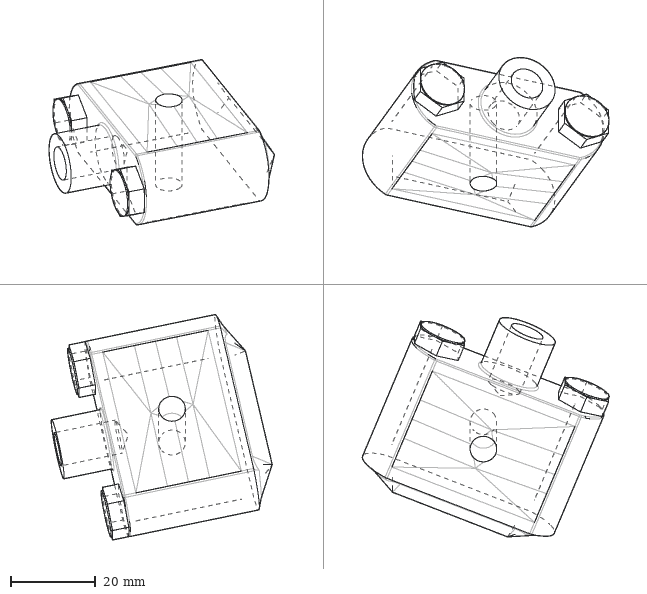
import cadquery as cq
import math

overall_length = 48.65
overall_height = 22.85

block_half_width = 24.5
block_half_height = 9.5
block_length = 31.45
flat_half_width = 18.4
corner_blend_radius = 1.2
front_edge_radius = 0.35

point_height = 5.3
point_slope = math.radians(30)
ridge_half_length = 14.65
skirt_height = 1.95
skirt_taper = 67.5

pad_peak_z = overall_height / 2
pad_half_width = 18.15
pad_half_length = 12.75
pad_ridge_half_length = 5.1
pad_flat_half_width = 2.9
cross_hole_diameter = 6.25

stub_diameter = 14.3
stub_length = overall_length - block_length - point_height
stub_root_radius = 0.5
bore_diameter = 8.0
bore_depth = 14.7
drill_half_angle = math.radians(59)

bolt_spacing = 36.75
bolt_across_flats = 11.15
bolt_hex_height = 3.9
bolt_face_height = 0.35

front_y = -block_length / 2
back_y = block_length / 2


def block_outline(y):
    """Flat-sided outline with bulged ends, lying in the XZ plane at y (positive extrusion runs to -Y)."""
    return (
        cq.Workplane("XZ", origin=(0, y, 0))
        .moveTo(-flat_half_width, block_half_height)
        .lineTo(flat_half_width, block_half_height)
        .threePointArc((block_half_width, 0), (flat_half_width, -block_half_height))
        .lineTo(-flat_half_width, -block_half_height)
        .threePointArc((-block_half_width, 0), (-flat_half_width, block_half_height))
        .close()
    )


def block_with_skirt():
    """Block with rounded corners and front edge, and a shallow tapered skirt on its back face."""
    block = block_outline(back_y).extrude(block_length)
    skirt = block_outline(back_y).extrude(-skirt_height, taper=skirt_taper)
    body = block.edges("|Y").fillet(corner_blend_radius)
    body = body.faces("<Y").edges().fillet(front_edge_radius)
    return body.union(skirt)


def wedge_point():
    """Straight wedge along X whose ends are cones."""
    base_radius = point_height / math.tan(point_slope)
    wedge = (
        cq.Workplane("YZ", origin=(-ridge_half_length, 0, 0))
        .polyline([(back_y, -base_radius), (back_y + point_height, 0), (back_y, base_radius)])
        .close()
        .extrude(2 * ridge_half_length)
    )
    for x in (-ridge_half_length, ridge_half_length):
        cone = cq.Solid.makeCone(
            base_radius, 0, point_height, pnt=cq.Vector(x, back_y, 0), dir=cq.Vector(0, 1, 0)
        )
        wedge = wedge.union(cq.Workplane(cone))
    return wedge


def raised_pad():
    """Top pad: a small flat diamond sloping down to a rectangular foot."""
    def polygon(points):
        return cq.Face.makeFromWires(cq.Wire.makePolygon(points, close=True))

    def foot(x, y):
        return cq.Vector(x, y, block_half_height)

    def peak(x, y):
        return cq.Vector(x, y, pad_peak_z)

    sides = (-1, 1)
    foot_ys = [-pad_half_length, -pad_ridge_half_length, 0, pad_ridge_half_length, pad_half_length]
    right_foot = [foot(pad_half_width, y) for y in foot_ys]
    left_foot = [foot(-pad_half_width, y) for y in reversed(foot_ys)]
    diamond = [
        peak(0, -pad_ridge_half_length),
        peak(pad_flat_half_width, 0),
        peak(0, pad_ridge_half_length),
        peak(-pad_flat_half_width, 0),
    ]
    faces = [polygon(right_foot + left_foot), polygon(diamond)]
    for end in sides:
        ridge_end = peak(0, end * pad_ridge_half_length)
        end_corners = [foot(side * pad_half_width, end * pad_half_length) for side in sides]
        faces.append(polygon(end_corners + [ridge_end]))
        for side, corner in zip(sides, end_corners):
            shoulder = foot(side * pad_half_width, end * pad_ridge_half_length)
            faces.append(polygon([corner, shoulder, ridge_end]))
            foot_edge = cq.Edge.makeLine(shoulder, foot(side * pad_half_width, 0))
            diamond_edge = cq.Edge.makeLine(ridge_end, peak(side * pad_flat_half_width, 0))
            faces.append(cq.Face.makeRuledSurface(foot_edge, diamond_edge))
    return cq.Workplane(cq.Solid.makeSolid(cq.Shell.makeShell(faces)).fix())


def stub():
    """Round stub on the front face with a concave fillet at its root."""
    radius = stub_diameter / 2
    root_radius = radius + stub_root_radius
    fillet_mid = stub_root_radius * (1 - math.sqrt(0.5))
    return (
        cq.Workplane("XY")
        .moveTo(0, front_y)
        .lineTo(root_radius, front_y)
        .threePointArc(
            (radius + fillet_mid, front_y - fillet_mid),
            (radius, front_y - stub_root_radius),
        )
        .lineTo(radius, front_y - stub_length)
        .lineTo(0, front_y - stub_length)
        .close()
        .revolve(360, (0, 0, 0), (0, 1, 0))
    )


def stub_bore():
    """Blind bore with a conical drill point, entering from the stub end."""
    radius = bore_diameter / 2
    mouth_y = front_y - stub_length
    bottom_y = mouth_y + bore_depth
    return (
        cq.Workplane("XY")
        .moveTo(0, mouth_y)
        .lineTo(radius, mouth_y)
        .lineTo(radius, bottom_y)
        .lineTo(0, bottom_y + radius / math.tan(drill_half_angle))
        .close()
        .revolve(360, (0, 0, 0), (0, 1, 0))
    )


def bolt_head(x):
    """Hexagonal head with two flats parallel to Z and a thin round face."""
    corner_diameter = bolt_across_flats / math.cos(math.radians(30))
    seat = cq.Workplane("XZ", origin=(x, front_y, 0))
    hexagon = seat.transformed(rotate=(0, 0, 90)).polygon(6, corner_diameter).extrude(bolt_hex_height)
    round_face = seat.circle(bolt_across_flats / 2).extrude(bolt_hex_height + bolt_face_height)
    return hexagon.union(round_face)


body = block_with_skirt().union(wedge_point())
top_pad = raised_pad()
body = body.union(top_pad).union(top_pad.mirror("XY"))
body = body.union(stub()).cut(stub_bore())
for bolt_x in (-bolt_spacing / 2, bolt_spacing / 2):
    body = body.union(bolt_head(bolt_x))

cross_hole = cq.Workplane("XY").circle(cross_hole_diameter / 2).extrude(pad_peak_z, both=True)
result = body.cut(cross_hole)